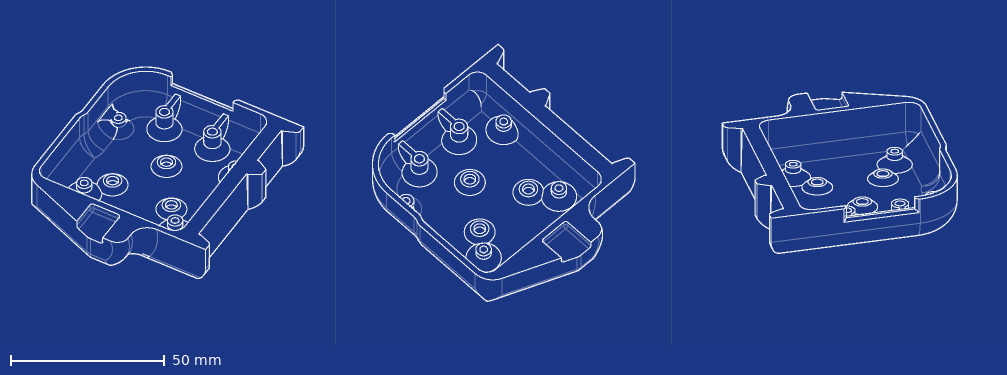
import cadquery as cq
import math

length_x = 67.0
length_y = 76.0
height = 17.0

front_y = 12.0
outer_radius = 8.0
front_radius = 3.0
inner_y = front_y + front_radius
back_corner_radius = 16.0
wall = 2.0

jog_depth = 1.0
jog_start_y = 43.1
jog_end_y = 47.0
split_y = 49.4

cavity_right_x = 55.9
cavity_front_y = 14.0
cavity_corner_radius = 4.0
cavity_deep_radius = outer_radius - wall

tab_bottom_z = 3.0
tab_edge_radius = 4.0
tab_flare_radius = 6.0
tab_axis_x = 30.0
tab_axis_z = 13.45
tab_side_radius = 13.1
diagonal_start = (5.0, 10.0)
diagonal_end_x = 30.1

recess_left_x = 24.4
recess_right_x = 35.4
recess_back_y = 11.7
recess_depth = 2.8
recess_radius = 1.0
recess_floor_radius = recess_radius * 0.99

notch_left_x = 18.5
notch_right_x = 41.6
notch_depth = 4.0
notch_chamfer = 1.0

web_top_x = 61.55
web_bottom_x = 62.0
prong_width = 3.1
prong_slope = 0.4
prong_tip_radius = 1.5
tooth_tip_x = 66.0
tooth_y = 51.9
tooth_tip_width = 2.6
tooth_slope = math.tan(math.radians(30))
tooth_tip_radius = 0.4

boss_base_diameter = 11.5
cone_height = 3.0
tall_diameter = 5.6
tall_hole = 3.2
tall_hole_bottom = 1.1
tall_height = 8.0
tall_spacing = 9.0
tall_y = 65.2
tall_points = [(tab_axis_x + side * tall_spacing, tall_y) for side in (-1, 1)]
rib_width = 2.0
mount_diameter = 5.0
mount_hole = 2.5
mount_height = 5.0
head_diameter = 5.6
head_depth = 3.0
mount_spacing_back = 22.05
mount_spacing_front = 17.0
mount_back_y = 57.9
mount_front_y = 26.9
foot_sink = 0.1
wall_mount = (tab_axis_x - mount_spacing_back, mount_back_y)
cone_mounts = [
    (tab_axis_x + mount_spacing_back, mount_back_y),
    (tab_axis_x - mount_spacing_front, mount_front_y),
    (tab_axis_x + mount_spacing_front, mount_front_y),
]
low_base_diameter = 10.0
low_diameter = 6.0
low_hole = 3.8
low_height = 2.0
low_spacing = 11.0
low_back_y = 50.9
low_front_y = 34.95
low_points = [
    (tab_axis_x, low_back_y),
    (tab_axis_x - low_spacing, low_front_y),
    (tab_axis_x + low_spacing, low_front_y),
]


def circle_point(center, radius, degrees):
    """Point on a circle at the given angle."""
    angle = math.radians(degrees)
    return (center[0] + radius * math.cos(angle), center[1] + radius * math.sin(angle))


def front_block(inset, right_x, front):
    """Front half of the tray outline, with the step in its left wall."""
    left_back = inset + jog_depth
    middle = (inset + jog_depth / 2, (jog_start_y + jog_end_y) / 2)
    return (
        cq.Workplane("XY")
        .moveTo(inset, front)
        .lineTo(inset, jog_start_y)
        .tangentArcPoint(middle, relative=False)
        .tangentArcPoint((left_back, jog_end_y), relative=False)
        .lineTo(left_back, split_y)
        .lineTo(right_x, split_y)
        .lineTo(right_x, front)
        .close()
        .extrude(height)
    )


def back_block(inset, right_x):
    """Back half of the tray outline, with its large back left corner."""
    left = inset + jog_depth
    block = cq.Workplane("XY").box(
        right_x - left, length_y - inset - split_y, height, centered=False
    )
    block = block.translate((left, split_y, 0))
    return block.edges("|Z and <X and >Y").fillet(back_corner_radius - inset)


def make_front_body():
    block = front_block(0, length_x, front_y)
    block = block.faces("<Z").edges("<X or >X").fillet(outer_radius)
    center = (inner_y, front_radius)
    front_profile = (
        cq.Workplane("YZ")
        .moveTo(front_y, height)
        .lineTo(front_y, front_radius)
        .threePointArc(circle_point(center, front_radius, 225), (inner_y, 0))
        .lineTo(length_y, 0)
        .lineTo(length_y, height)
        .close()
        .extrude(length_x)
    )
    return block.intersect(front_profile)


def make_back_body():
    return back_block(0, length_x).faces("<Z").edges("not <Y").fillet(outer_radius)


def make_tab_slab():
    """Tab with its long lower edge rounded, reaching into the body."""
    slope = diagonal_start[1] / (diagonal_end_x - diagonal_start[0])
    slab = (
        cq.Workplane("XY", origin=(0, 0, tab_bottom_z))
        .moveTo(0, slope * diagonal_end_x)
        .lineTo(diagonal_end_x, 0)
        .lineTo(length_x, 0)
        .lineTo(length_x, inner_y)
        .lineTo(0, inner_y)
        .close()
        .extrude(height - tab_bottom_z)
    )
    bend = cq.selectors.NearestToPointSelector((diagonal_end_x, 0, height / 2))
    slab = slab.edges(bend).fillet(tab_edge_radius)
    return slab.faces("<Z").edges("<Y").fillet(tab_edge_radius)


def make_tab_blend():
    """Concave blend from the underside of the tab to the rounded front of the body."""
    radius = front_radius
    convex_center = (inner_y, radius)
    concave_center = (inner_y - math.sqrt(3) * radius, 0)
    tangent_point = circle_point(convex_center, radius, 210)
    return (
        cq.Workplane("YZ")
        .moveTo(inner_y, height)
        .lineTo(inner_y, 0)
        .threePointArc(circle_point(convex_center, radius, 240), tangent_point)
        .threePointArc(circle_point(concave_center, radius, 60), (concave_center[0], tab_bottom_z))
        .lineTo(concave_center[0], height)
        .close()
        .extrude(length_x)
    )


def make_diagonal_relief():
    """Material to remove below the diagonal side: rounded like the tab, then sloping inward."""
    run_x = diagonal_end_x - diagonal_start[0]
    run_y = diagonal_start[1]
    plane = cq.Plane(
        origin=(diagonal_end_x, 0, 0), xDir=(run_y, run_x, 0), normal=(-run_x, run_y, 0)
    )
    edge_center = (tab_edge_radius, -tab_bottom_z - tab_edge_radius)
    slope_start = circle_point(edge_center, tab_edge_radius, 135)
    slope_end = slope_start[0] - slope_start[1]
    return (
        cq.Workplane(plane)
        .moveTo(-0.75, 0.75)
        .lineTo(-0.75, edge_center[1])
        .lineTo(0, edge_center[1])
        .threePointArc(circle_point(edge_center, tab_edge_radius, 157.5), slope_start)
        .lineTo(slope_end, 0)
        .lineTo(slope_end, 0.75)
        .close()
        .extrude(length_x)
    )


def make_tab():
    """Tab limited by its round right side, which flares into the front of the body."""
    flare_y = front_y - tab_flare_radius
    end_radius = tab_side_radius - tab_edge_radius
    flared_radius = tab_side_radius + tab_flare_radius
    edge_center = (tab_axis_x + end_radius, tab_edge_radius)
    flare_center = (tab_axis_x + flared_radius, flare_y)
    round_side = (
        cq.Workplane("XY", origin=(0, 0, tab_axis_z))
        .moveTo(tab_axis_x, 0)
        .lineTo(tab_axis_x + end_radius, 0)
        .threePointArc(
            circle_point(edge_center, tab_edge_radius, -45),
            (tab_axis_x + tab_side_radius, tab_edge_radius),
        )
        .lineTo(tab_axis_x + tab_side_radius, flare_y)
        .threePointArc(
            circle_point(flare_center, tab_flare_radius, 135),
            (tab_axis_x + flared_radius, front_y),
        )
        .lineTo(tab_axis_x, front_y)
        .close()
        .revolve(360, (tab_axis_x, 0, 0), (tab_axis_x, 1, 0))
    )
    left_part = cq.Workplane("XY").box(tab_axis_x, front_y, height, centered=False)
    blend = make_tab_blend().cut(make_diagonal_relief())
    return make_tab_slab().union(blend).intersect(round_side.union(left_part))


def make_plan_limit():
    """Everything inside the rounded corner between the left wall and the diagonal."""
    turn = math.atan2(diagonal_end_x - diagonal_start[0], diagonal_start[1])
    tangent_y = diagonal_start[1] + outer_radius * math.sin(turn)
    middle = circle_point((outer_radius, tangent_y), outer_radius, 180 + math.degrees(turn) / 2)
    return (
        cq.Workplane("XY")
        .moveTo(0, length_y)
        .lineTo(0, tangent_y)
        .threePointArc(middle, diagonal_start)
        .lineTo(diagonal_end_x, 0)
        .lineTo(length_x, 0)
        .lineTo(length_x, length_y)
        .close()
        .extrude(height)
    )


def make_cavity_limit():
    """Box that gives the cavity its smaller rounding at the front, the right and the corners."""
    limit = cq.Workplane("XY").box(
        cavity_right_x - wall, length_y - wall - cavity_front_y, height, centered=False
    )
    limit = limit.edges("|Z and (>X or <Y)").fillet(cavity_corner_radius)
    limit = limit.faces("<Z").edges(">X or <Y").fillet(cavity_corner_radius)
    return limit.translate((wall, cavity_front_y, wall))


def make_front_cavity():
    hollow = front_block(wall, cavity_right_x, cavity_front_y)
    hollow = hollow.faces("<Z").edges("<X").fillet(cavity_deep_radius)
    return hollow.translate((0, 0, wall)).intersect(make_cavity_limit())


def make_back_cavity():
    hollow = back_block(wall, cavity_right_x)
    hollow = hollow.faces("<Z").edges("not (<Y or >X)").fillet(cavity_deep_radius)
    return hollow.translate((0, 0, wall)).intersect(make_cavity_limit())


def shape_right_side(part):
    """Leave two prongs and a tooth standing out from the slightly drafted web."""
    prong_rise = prong_slope * (length_x - web_bottom_x)
    tooth_rise = tooth_slope * (tooth_tip_x - web_bottom_x)
    low_tip = front_y + prong_width
    high_tip = length_y - prong_width
    tooth_low = tooth_y - tooth_tip_width / 2
    tooth_high = tooth_y + tooth_tip_width / 2
    gaps = [
        (low_tip + prong_rise, tooth_low - tooth_rise),
        (tooth_high + tooth_rise, high_tip - prong_rise),
    ]
    outline = [
        (0, 0),
        (length_x, 0),
        (length_x, low_tip),
        (web_bottom_x, gaps[0][0]),
        (web_bottom_x, gaps[0][1]),
        (tooth_tip_x, tooth_low),
        (tooth_tip_x, tooth_high),
        (web_bottom_x, gaps[1][0]),
        (web_bottom_x, gaps[1][1]),
        (length_x, high_tip),
        (length_x, length_y),
        (0, length_y),
    ]
    comb = cq.Workplane("XY").polyline(outline).close().extrude(height)
    tips = [
        (length_x, low_tip, prong_tip_radius),
        (length_x, high_tip, prong_tip_radius),
        (tooth_tip_x, tooth_low, tooth_tip_radius),
        (tooth_tip_x, tooth_high, tooth_tip_radius),
    ]
    for x, y, radius in tips:
        tip = cq.selectors.NearestToPointSelector((x, y, height / 2))
        comb = comb.edges(tip).fillet(radius)
    for start_y, end_y in gaps:
        draft = (
            cq.Workplane("XZ", origin=(0, end_y, 0))
            .polyline([(web_bottom_x, 0), (web_bottom_x, height), (web_top_x, height)])
            .close()
            .extrude(end_y - start_y)
        )
        comb = comb.cut(draft)
    return part.intersect(comb)


def cut_tab_recess(part):
    """Recess with rounded corners and floor edges, open at the front of the tab."""
    recess = cq.Workplane("XY").box(
        recess_right_x - recess_left_x,
        recess_back_y + recess_radius,
        recess_depth * 2,
        centered=False,
    )
    recess = recess.edges("|Z and >Y").fillet(recess_radius)
    recess = recess.faces("<Z").edges("not <Y").fillet(recess_floor_radius)
    return part.cut(recess.translate((recess_left_x, -recess_radius, height - recess_depth)))


def cut_back_notch(part):
    """Lowered stretch of the back wall, chamfered along its outer edges."""
    width = notch_right_x - notch_left_x
    middle_x = (notch_left_x + notch_right_x) / 2
    opening = (
        cq.Workplane("XZ", origin=(middle_x, length_y, height))
        .rect(width, 2 * notch_depth)
        .extrude(2 * wall)
    )
    flare = (
        cq.Workplane("XZ", origin=(middle_x, length_y, height))
        .rect(width + 2 * notch_chamfer, 2 * (notch_depth + notch_chamfer))
        .workplane(offset=notch_chamfer)
        .rect(width, 2 * notch_depth)
        .loft()
    )
    return part.cut(opening).cut(flare)


def make_hole(diameter, bottom_z, top_z):
    """Upright cylinder between two heights."""
    return cq.Workplane("XY", origin=(0, 0, bottom_z)).circle(diameter / 2).extrude(top_z - bottom_z)


def make_boss(base_diameter, diameter, taper_height, boss_height):
    """Cylinder rising out of a cone, centred on the origin."""
    base_radius = base_diameter / 2
    radius = diameter / 2
    cone = cq.Solid.makeCone(base_radius, radius, taper_height)
    return cq.Workplane("XY").circle(radius).extrude(boss_height).union(cq.Workplane(cone))


def make_tall_boss():
    """Tall boss with a blind hole and a rib running to the back wall."""
    boss = make_boss(boss_base_diameter, tall_diameter, cone_height, tall_height)
    hole = make_hole(tall_hole, tall_hole_bottom, tall_height)
    rib_length = length_y - wall - tall_y
    rib = cq.Workplane("XY").box(rib_width, rib_length, tall_height, centered=(True, False, False))
    return boss.union(rib).cut(hole)


def make_low_boss():
    boss = make_boss(low_base_diameter, low_diameter, low_height, low_height)
    return boss.cut(make_hole(low_hole, 0, low_height))


def make_wall_boss():
    """Mount boss with a concave foot and a saddle that follows the floor up to the left wall."""
    radius = mount_diameter / 2
    foot_radius = boss_base_diameter / 2 - radius
    foot_bottom = wall - foot_sink
    foot_center = (radius + foot_radius, foot_bottom + foot_radius)

    def half_foot(plane):
        return (
            cq.Workplane(plane)
            .moveTo(0, foot_bottom)
            .lineTo(foot_center[0], foot_bottom)
            .threePointArc(circle_point(foot_center, foot_radius, 225), (radius, foot_center[1]))
            .lineTo(0, foot_center[1])
            .close()
        )

    boss = make_hole(mount_diameter, foot_bottom, wall + mount_height)
    foot = half_foot("XZ").revolve(360, (0, 0, 0), (0, 1, 0))
    bend_offset = wall + jog_depth + cavity_deep_radius - wall_mount[0]
    saddle = half_foot("YZ").revolve(90, (0, outer_radius, 0), (1, outer_radius, 0))
    saddle = saddle.union(saddle.mirror("XZ")).translate((bend_offset, 0, 0))
    headroom = cq.Workplane("XY").box(length_x, length_x, 2 * (wall + mount_height))
    return boss.union(foot).union(saddle.intersect(headroom)).translate(wall_mount)


def placed(shape, points, z=0):
    """Copies of a shape at the given points."""
    copies = cq.Workplane("XY")
    for x, y in points:
        copies = copies.union(shape.translate((x, y, z)))
    return copies


mount_boss = make_boss(boss_base_diameter, mount_diameter, cone_height, mount_height)
bosses = (
    placed(make_tall_boss(), tall_points, wall)
    .union(placed(mount_boss, cone_mounts, wall))
    .union(make_wall_boss())
    .union(placed(make_low_boss(), low_points, wall))
)
screw_hole = make_hole(mount_hole, 0, height).union(make_hole(head_diameter, 0, head_depth))

front_half = make_front_body().cut(make_diagonal_relief()).union(make_tab())
front_half = front_half.intersect(make_plan_limit())
front_half = front_half.cut(make_front_cavity().cut(bosses))
back_half = make_back_body().cut(make_back_cavity().cut(bosses))

result = front_half.union(back_half).cut(placed(screw_hole, cone_mounts + [wall_mount]))
result = shape_right_side(result)
result = cut_tab_recess(result)
result = cut_back_notch(result)